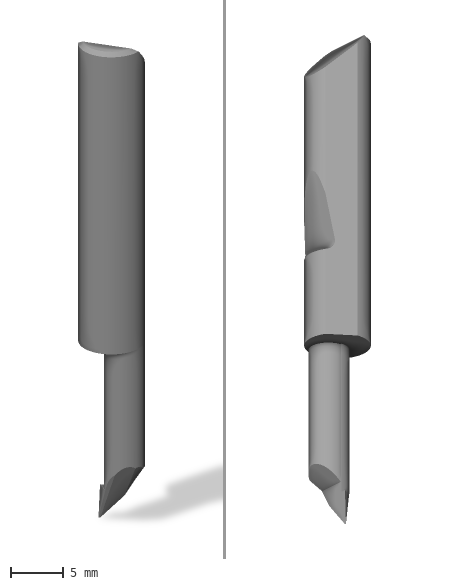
import cadquery as cq
import math

LENGTH = 50.45

SHANK_RADIUS = 3.2
SHANK_BOTTOM = 18.8
TOP_CHAMFER = 0.4
FLAT_OFFSET = 2.75
FLAT_ANGLE = 150
BEVEL_EDGE_Y = -1.3

NOTCH_BOTTOM = 27.6
NOTCH_TOP = 36.05
NOTCH_DEPTH = 1.4
NOTCH_FILLET = 0.9

NECK_RADIUS = 1.9
NECK_X = SHANK_RADIUS - NECK_RADIUS
BACK_STEP = 0.15

TIP_X = -1.3
NOSE_WIDTH = 0.15
TOOTH_TOP = 3.55
TOOTH_TOP_X = -1.15
FLANK_ANGLE = 38
RAKE_RAMP_Z = 4.6

KNEE_X = 1.3
MAIN_RISE_X = 1.1
NOSE_X = TIP_X + NOSE_WIDTH
HEEL_RISE_X = 1.7
KNEE_Z = MAIN_RISE_X * (KNEE_X - NOSE_X)
RELIEF_PLANES = (
    (NOSE_X, 0, MAIN_RISE_X, 1.7),
    (KNEE_X, KNEE_Z, HEEL_RISE_X, 0.9),
    (KNEE_X, KNEE_Z, HEEL_RISE_X, 0),
    (TIP_X, 0, 0.2, 2.7),
)

CUT_SIZE = 4 * SHANK_RADIUS


def side_prism(points):
    """Prism of a (Y, Z) outline, spanning the whole tool along X."""
    return cq.Workplane("YZ").polyline(points).close().extrude(CUT_SIZE / 2, both=True)


def half_space(point, normal):
    """Large block on the normal's side of a plane through the point."""
    plane = cq.Plane(origin=point, normal=normal)
    return cq.Workplane(plane).rect(2 * LENGTH, 2 * LENGTH).extrude(CUT_SIZE)


def make_shank():
    shank = (
        cq.Workplane("XY", origin=(0, 0, SHANK_BOTTOM))
        .circle(SHANK_RADIUS)
        .extrude(LENGTH - SHANK_BOTTOM)
        .faces(">Z")
        .chamfer(TOP_CHAMFER)
    )
    flat = (
        cq.Workplane("XY")
        .center(FLAT_OFFSET + CUT_SIZE / 2, 0)
        .rect(CUT_SIZE, CUT_SIZE)
        .extrude(LENGTH)
        .rotate((0, 0, 0), (0, 0, 1), FLAT_ANGLE)
    )
    bevel = half_space((0, BEVEL_EDGE_Y, LENGTH), (0, 1, 1))
    return shank.cut(flat).cut(bevel).cut(make_notch())


def make_notch():
    floor_y = SHANK_RADIUS - NOTCH_DEPTH
    notch = side_prism([
        (SHANK_RADIUS, NOTCH_TOP),
        (floor_y, NOTCH_BOTTOM),
        (CUT_SIZE, NOTCH_BOTTOM),
        (CUT_SIZE, NOTCH_TOP),
    ])
    return notch.edges("|X and <Y").fillet(NOTCH_FILLET)


def make_neck():
    def bar(center_x, radius):
        return cq.Workplane("XY").center(center_x, 0).circle(radius).extrude(SHANK_BOTTOM)

    origin = (0, 0, 0)
    front = bar(NECK_X, NECK_RADIUS).cut(half_space(origin, (0, 1, 0)))
    back = bar(NECK_X + BACK_STEP, NECK_RADIUS).cut(half_space(origin, (0, -1, 0)))
    return front.union(back.intersect(bar(0, SHANK_RADIUS)))


def make_cutting_end():
    flank_run = NECK_RADIUS * math.tan(math.radians(FLANK_ANGLE))
    tooth = (
        cq.Workplane("XY")
        .polyline([
            (TIP_X, 0),
            (NECK_X, 0),
            (NECK_X, -NECK_RADIUS),
            (TIP_X + flank_run, -NECK_RADIUS),
        ])
        .close()
        .workplane(offset=TOOTH_TOP)
        .polyline([
            (TOOTH_TOP_X, 0),
            (NECK_X, 0),
            (NECK_X, -NECK_RADIUS),
            (TOOTH_TOP_X + flank_run, -NECK_RADIUS),
        ])
        .close()
        .loft(ruled=True)
    )
    rake = side_prism([
        (0, -CUT_SIZE),
        (0, RAKE_RAMP_Z),
        (CUT_SIZE, RAKE_RAMP_Z + CUT_SIZE),
        (CUT_SIZE, -CUT_SIZE),
    ])
    end = make_neck().union(tooth).cut(rake)
    for point_x, point_z, rise_x, rise_y in RELIEF_PLANES:
        end = end.cut(half_space((point_x, 0, point_z), (rise_x, -rise_y, -1)))
    return end


result = make_shank().union(make_cutting_end())